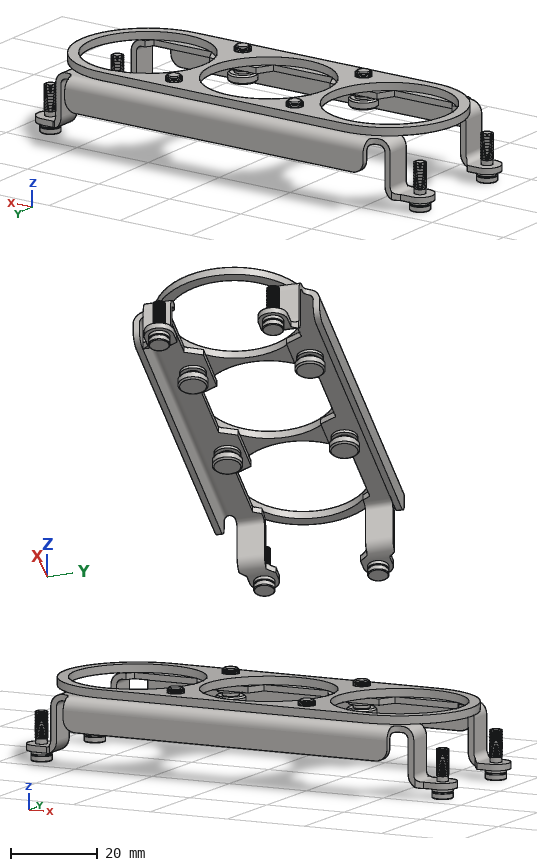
import cadquery as cq
import math

STUD_TOP = 20.25
STUD_PROJECTION = 1.3
PLATE_TOP = STUD_TOP - STUD_PROJECTION
PLATE_THICKNESS = 2.0
SHEET_TOP = PLATE_TOP - PLATE_THICKNESS
SHEET = 1.5
SHEET_BOTTOM = SHEET_TOP - SHEET
FOOT_BOTTOM = 2.5
FOOT_TOP = FOOT_BOTTOM + SHEET
BEND_OUTER = 3.0
BEND_INNER = BEND_OUTER - SHEET
FOOT_BEND_OUTER = 3.3
FOOT_BEND_INNER = FOOT_BEND_OUTER - SHEET

RING_PITCH = 34.0
RING_COUNT = 3
RING_OUTER_RADIUS = 18.6
RING_HOLE_RADIUS = 16.0

FLANGE_HALF_LENGTH = 42.0
FLANGE_OUTER_Y = 22.15
FLANGE_INNER_Y = FLANGE_OUTER_Y - SHEET
FLANGE_BEND_Y = FLANGE_OUTER_Y - BEND_OUTER
FLANGE_BOTTOM = 8.95
FLANGE_CORNER_RADIUS = 3.0
STRIP_INNER_Y = 13.9
LEG_INNER_Y = 12.0
LEG_OUTER_Y = 18.5
LEG_OUTER_X = 47.1
LEG_INNER_X = LEG_OUTER_X - SHEET
TOP_BEND_X = LEG_OUTER_X - BEND_OUTER
FOOT_BEND_X = LEG_INNER_X + FOOT_BEND_OUTER
RELIEF_RADIUS = 1.7
LEG_ROOT_X = 43.2
FOOT_RADIUS = 3.48
FOOT_TAPER_X = 47.4
TAB_INNER_Y = 9.85
TAB_TIP_HALF_WIDTH = 6.6
TAB_BASE_HALF_WIDTH = 8.7

STUD_X = RING_PITCH / 2
STUD_Y = 13.9
STUD_RADIUS = 2.0
STUD_PITCH = 0.35
STUD_THREAD_DEPTH = 0.4
STUD_TIP_CHAMFER = 0.5
STUD_COLLAR_RADIUS = 3.1
STUD_COLLAR_BOTTOM = SHEET_BOTTOM - 0.7
STUD_HEAD_RADIUS = 3.5
STUD_HEAD_TOP = 13.8
STUD_HEAD_BOTTOM = 11.6
STUD_HEAD_CHAMFER = 0.4

OVERALL_LENGTH = 111.02
SCREW_X = OVERALL_LENGTH / 2 - FOOT_RADIUS
SCREW_Y = 13.52
SCREW_RADIUS = 1.46
SCREW_SHANK_RADIUS = 1.35
SCREW_TOP = 11.65
SCREW_THREAD_BOTTOM = FOOT_TOP + 1.2
SCREW_PITCH = 0.35
SCREW_THREAD_DEPTH = 0.4
SCREW_HEAD_RADIUS = 2.48
SCREW_HEAD_TOP = 1.3
SCREW_NECK_RADIUS = 2.1
SCREW_COLLAR_BOTTOM = 1.65
SCREW_EDGE_CHAMFER = 0.2


def cylinder(radius, bottom, top):
    return cq.Workplane("XY").workplane(offset=bottom).circle(radius).extrude(top - bottom)


def threaded_rod(radius, depth, pitch, bottom, top):
    """Rod with evenly spaced V-shaped thread grooves, as near the pitch as fits its length."""
    turns = round((top - bottom) / pitch)
    step = (top - bottom) / turns
    core = radius - depth
    profile = cq.Workplane("XZ").moveTo(0, bottom).lineTo(core, bottom)
    for turn in range(turns):
        groove_z = bottom + turn * step
        profile = profile.lineTo(radius, groove_z + step / 2).lineTo(core, groove_z + step)
    return profile.lineTo(0, top).close().revolve(360, (0, 0, 0), (0, 1, 0))


def make_plate():
    row_length = (RING_COUNT - 1) * RING_PITCH
    plate = (
        cq.Workplane("XY")
        .workplane(offset=SHEET_TOP)
        .slot2D(row_length + 2 * RING_OUTER_RADIUS, 2 * RING_OUTER_RADIUS)
        .extrude(PLATE_THICKNESS)
    )
    ring_holes = (
        cq.Workplane("XY")
        .workplane(offset=SHEET_TOP)
        .rarray(RING_PITCH, 1, RING_COUNT, 1)
        .circle(RING_HOLE_RADIUS)
        .extrude(PLATE_THICKNESS)
    )
    stud_holes = (
        cq.Workplane("XY")
        .workplane(offset=SHEET_TOP)
        .rarray(2 * STUD_X, 2 * STUD_Y, 2, 2)
        .circle(STUD_RADIUS)
        .extrude(PLATE_THICKNESS)
    )
    return plate.cut(ring_holes).cut(stud_holes)


def cut_end_reliefs(body):
    """Clear the outer corners beyond the flange ends, leaving a concave round in each."""
    relief_x = FLANGE_HALF_LENGTH + RELIEF_RADIUS
    relief_y = LEG_OUTER_Y + RELIEF_RADIUS
    arc_offset = RELIEF_RADIUS * (1 - math.sqrt(0.5))
    relief = (
        cq.Workplane("XY")
        .moveTo(FLANGE_HALF_LENGTH, FLANGE_OUTER_Y)
        .lineTo(FLANGE_HALF_LENGTH, relief_y)
        .threePointArc(
            (FLANGE_HALF_LENGTH + arc_offset, LEG_OUTER_Y + arc_offset), (relief_x, LEG_OUTER_Y)
        )
        .lineTo(TOP_BEND_X, LEG_OUTER_Y)
        .lineTo(TOP_BEND_X, FLANGE_OUTER_Y)
        .close()
        .extrude(SHEET_TOP)
    )
    return body.cut(relief).cut(relief.mirror("YZ"))


def bracket_strip():
    """Flat strip under the plate, wider at the two leg roots."""
    strip = (
        cq.Workplane("XY")
        .workplane(offset=SHEET_BOTTOM)
        .moveTo(-FLANGE_HALF_LENGTH, STRIP_INNER_Y)
        .lineTo(-LEG_ROOT_X, LEG_INNER_Y)
        .lineTo(-TOP_BEND_X, LEG_INNER_Y)
        .lineTo(-TOP_BEND_X, FLANGE_BEND_Y)
        .lineTo(TOP_BEND_X, FLANGE_BEND_Y)
        .lineTo(TOP_BEND_X, LEG_INNER_Y)
        .lineTo(LEG_ROOT_X, LEG_INNER_Y)
        .lineTo(FLANGE_HALF_LENGTH, STRIP_INNER_Y)
        .close()
        .extrude(SHEET)
    )
    return cut_end_reliefs(strip)


def bracket_tab(x):
    """Tapered tab that widens the strip around a stud."""
    return (
        cq.Workplane("XY")
        .workplane(offset=SHEET_BOTTOM)
        .moveTo(x - TAB_BASE_HALF_WIDTH, STRIP_INNER_Y)
        .lineTo(x - TAB_TIP_HALF_WIDTH, TAB_INNER_Y)
        .lineTo(x + TAB_TIP_HALF_WIDTH, TAB_INNER_Y)
        .lineTo(x + TAB_BASE_HALF_WIDTH, STRIP_INNER_Y)
        .close()
        .extrude(SHEET)
    )


def bracket_flange():
    """Long flange bent down from the outer edge of the strip."""
    bend_z = SHEET_TOP - BEND_OUTER
    flange = (
        cq.Workplane("YZ")
        .workplane(offset=-TOP_BEND_X)
        .moveTo(FLANGE_BEND_Y, SHEET_TOP)
        .radiusArc((FLANGE_OUTER_Y, bend_z), BEND_OUTER)
        .lineTo(FLANGE_OUTER_Y, FLANGE_BOTTOM)
        .lineTo(FLANGE_INNER_Y, FLANGE_BOTTOM)
        .lineTo(FLANGE_INNER_Y, bend_z)
        .radiusArc((FLANGE_BEND_Y, SHEET_BOTTOM), -BEND_INNER)
        .close()
        .extrude(2 * TOP_BEND_X)
    )
    flange = cut_end_reliefs(flange)
    return flange.edges("|Y and <Z").fillet(FLANGE_CORNER_RADIUS)


def bracket_leg():
    """Double-bent leg with a round-ended foot at the +X end."""
    foot_tip_x = SCREW_X + FOOT_RADIUS
    foot_inner_y = SCREW_Y - FOOT_RADIUS
    foot_outer_y = SCREW_Y + FOOT_RADIUS
    top_bend_z = SHEET_TOP - BEND_OUTER
    foot_bend_z = FOOT_BOTTOM + FOOT_BEND_OUTER
    bent_sheet = (
        cq.Workplane("XZ")
        .moveTo(TOP_BEND_X, SHEET_TOP)
        .radiusArc((LEG_OUTER_X, top_bend_z), BEND_OUTER)
        .lineTo(LEG_OUTER_X, foot_bend_z)
        .radiusArc((FOOT_BEND_X, FOOT_TOP), -FOOT_BEND_INNER)
        .lineTo(foot_tip_x, FOOT_TOP)
        .lineTo(foot_tip_x, FOOT_BOTTOM)
        .lineTo(FOOT_BEND_X, FOOT_BOTTOM)
        .radiusArc((LEG_INNER_X, foot_bend_z), FOOT_BEND_OUTER)
        .lineTo(LEG_INNER_X, top_bend_z)
        .radiusArc((TOP_BEND_X, SHEET_BOTTOM), -BEND_INNER)
        .close()
        .extrude(-LEG_OUTER_Y)
    )
    outline = (
        cq.Workplane("XY")
        .moveTo(TOP_BEND_X, LEG_INNER_Y)
        .lineTo(FOOT_TAPER_X, LEG_INNER_Y)
        .lineTo(FOOT_BEND_X, foot_inner_y)
        .lineTo(SCREW_X, foot_inner_y)
        .threePointArc((foot_tip_x, SCREW_Y), (SCREW_X, foot_outer_y))
        .lineTo(FOOT_BEND_X, foot_outer_y)
        .lineTo(FOOT_TAPER_X, LEG_OUTER_Y)
        .lineTo(TOP_BEND_X, LEG_OUTER_Y)
        .close()
        .extrude(SHEET_TOP)
    )
    screw_hole = cylinder(SCREW_SHANK_RADIUS, FOOT_BOTTOM, FOOT_TOP).translate((SCREW_X, SCREW_Y, 0))
    return bent_sheet.intersect(outline).cut(screw_hole)


def make_stud():
    head = cylinder(STUD_HEAD_RADIUS, STUD_HEAD_BOTTOM, STUD_HEAD_TOP)
    head = head.edges().chamfer(STUD_HEAD_CHAMFER)
    collar = cylinder(STUD_COLLAR_RADIUS, STUD_COLLAR_BOTTOM, SHEET_BOTTOM)
    shank = cylinder(STUD_RADIUS, STUD_HEAD_BOTTOM, PLATE_TOP)
    thread = threaded_rod(STUD_RADIUS, STUD_THREAD_DEPTH, STUD_PITCH, PLATE_TOP, STUD_TOP)
    tip_envelope = cylinder(STUD_RADIUS, PLATE_TOP, STUD_TOP).faces(">Z").chamfer(STUD_TIP_CHAMFER)
    return head.union(collar).union(shank).union(thread.intersect(tip_envelope))


def make_bracket():
    """Bracket on the +Y side, one piece with its two studs."""
    leg = bracket_leg()
    bracket = bracket_strip().union(bracket_flange()).union(leg).union(leg.mirror("YZ"))
    stud = make_stud()
    for x in (-STUD_X, STUD_X):
        bracket = bracket.union(bracket_tab(x)).union(stud.translate((x, STUD_Y, 0)))
    return bracket


def make_foot_screw():
    head = cylinder(SCREW_HEAD_RADIUS, 0, SCREW_HEAD_TOP).faces("<Z").chamfer(SCREW_EDGE_CHAMFER)
    neck = cylinder(SCREW_NECK_RADIUS, SCREW_HEAD_TOP, SCREW_COLLAR_BOTTOM)
    collar = cylinder(SCREW_HEAD_RADIUS, SCREW_COLLAR_BOTTOM, FOOT_BOTTOM)
    shank = cylinder(SCREW_SHANK_RADIUS, FOOT_BOTTOM, SCREW_THREAD_BOTTOM)
    thread = threaded_rod(
        SCREW_RADIUS, SCREW_THREAD_DEPTH, SCREW_PITCH, SCREW_THREAD_BOTTOM, SCREW_TOP
    )
    return head.union(neck).union(collar).union(shank).union(thread)


plate = make_plate()
back_bracket = make_bracket()
front_bracket = back_bracket.mirror("XZ")
foot_screw = make_foot_screw()
foot_screws = [
    foot_screw.translate((x, y, 0)) for x in (-SCREW_X, SCREW_X) for y in (-SCREW_Y, SCREW_Y)
]

result = cq.Compound.makeCompound(
    [plate.val(), back_bracket.val(), front_bracket.val(), *[screw.val() for screw in foot_screws]]
)